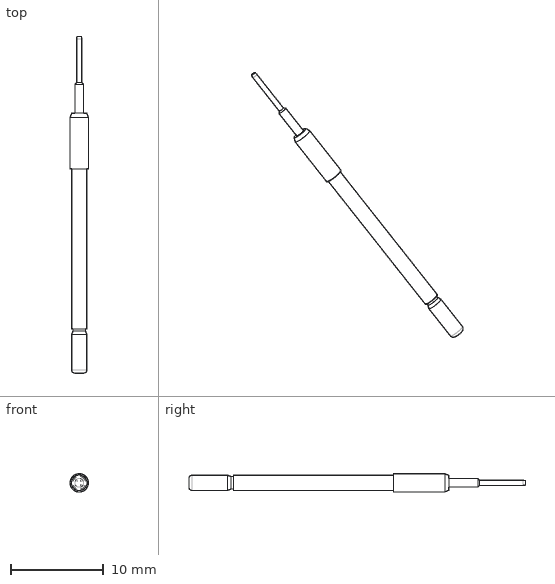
import cadquery as cq
import math

LENGTH = 36.3

BARREL_RADIUS = 0.85
REAR_ROUND = 0.35

GROOVE_REAR = 4.17
GROOVE_FRONT = 4.8
GROOVE_FLOOR_LENGTH = 0.25
GROOVE_DEPTH = 0.15

COLLAR_RADIUS = 1.0
COLLAR_REAR = 22.05
COLLAR_LENGTH = 6.0
COLLAR_TAPER_LENGTH = 0.45
COLLAR_TAPER_DEPTH = 0.18

PLUNGER_RADIUS = 0.47
PLUNGER_FRONT = 31.33

NEEDLE_RADIUS = 0.3
TIP_TAPER_LENGTH = 0.3
TIP_TAPER_DEPTH = 0.05

groove_radius = BARREL_RADIUS - GROOVE_DEPTH
groove_floor_rear = GROOVE_FRONT - GROOVE_FLOOR_LENGTH
collar_front = COLLAR_REAR + COLLAR_LENGTH
plunger_chamfer = PLUNGER_RADIUS - NEEDLE_RADIUS
round_diagonal = REAR_ROUND * math.sqrt(0.5)
round_middle = (BARREL_RADIUS - REAR_ROUND + round_diagonal, REAR_ROUND - round_diagonal)


def half_profile():
    """Closed half section of the turned part, as (radius, station) from rear to tip."""
    barrel = (
        cq.Workplane("XY", origin=(0, -LENGTH / 2, 0))
        .lineTo(BARREL_RADIUS - REAR_ROUND, 0)
        .threePointArc(round_middle, (BARREL_RADIUS, REAR_ROUND))
        .lineTo(BARREL_RADIUS, GROOVE_REAR)
        .lineTo(groove_radius, groove_floor_rear)
        .lineTo(groove_radius, GROOVE_FRONT)
        .lineTo(BARREL_RADIUS, GROOVE_FRONT)
        .lineTo(BARREL_RADIUS, COLLAR_REAR)
    )
    collar = (
        barrel.lineTo(COLLAR_RADIUS, COLLAR_REAR)
        .lineTo(COLLAR_RADIUS, collar_front - COLLAR_TAPER_LENGTH)
        .lineTo(COLLAR_RADIUS - COLLAR_TAPER_DEPTH, collar_front)
        .lineTo(PLUNGER_RADIUS, collar_front)
    )
    plunger = (
        collar.lineTo(PLUNGER_RADIUS, PLUNGER_FRONT - plunger_chamfer)
        .lineTo(NEEDLE_RADIUS, PLUNGER_FRONT)
    )
    needle = (
        plunger.lineTo(NEEDLE_RADIUS, LENGTH - TIP_TAPER_LENGTH)
        .lineTo(NEEDLE_RADIUS - TIP_TAPER_DEPTH, LENGTH)
        .lineTo(0, LENGTH)
    )
    return needle.close()


result = half_profile().revolve(360, (0, 0, 0), (0, 1, 0))